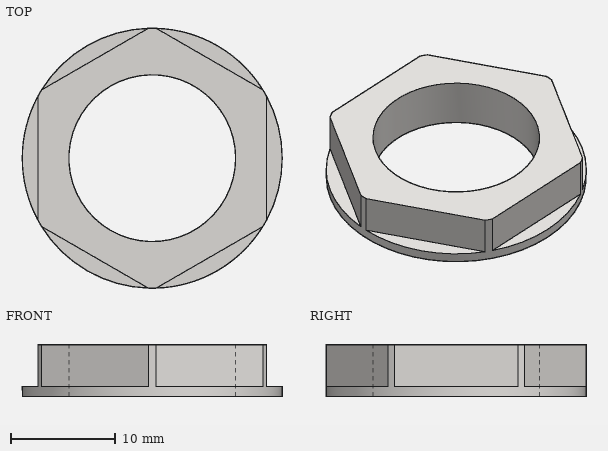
import cadquery as cq
import math

flange_diameter = 25.0
flange_thickness = 1.0
total_height = 5.0
across_flats = 22.0
bore_diameter = 16.0

across_corners = across_flats / math.cos(math.pi / 6)


def make_flange():
    """Thin round flange resting on the XY plane."""
    return cq.Workplane("XY").circle(flange_diameter / 2).extrude(flange_thickness)


def make_hex_body():
    """Hexagon with corners on the Y axis, its corners rounded to the flange diameter."""
    hexagon = (
        cq.Workplane("XY")
        .polygon(6, across_corners)
        .extrude(total_height)
        .rotate((0, 0, 0), (0, 0, 1), 30)
    )
    corner_limit = cq.Workplane("XY").circle(flange_diameter / 2).extrude(total_height)
    return hexagon.intersect(corner_limit)


bore = cq.Workplane("XY").circle(bore_diameter / 2).extrude(total_height)

result = make_flange().union(make_hex_body()).cut(bore)